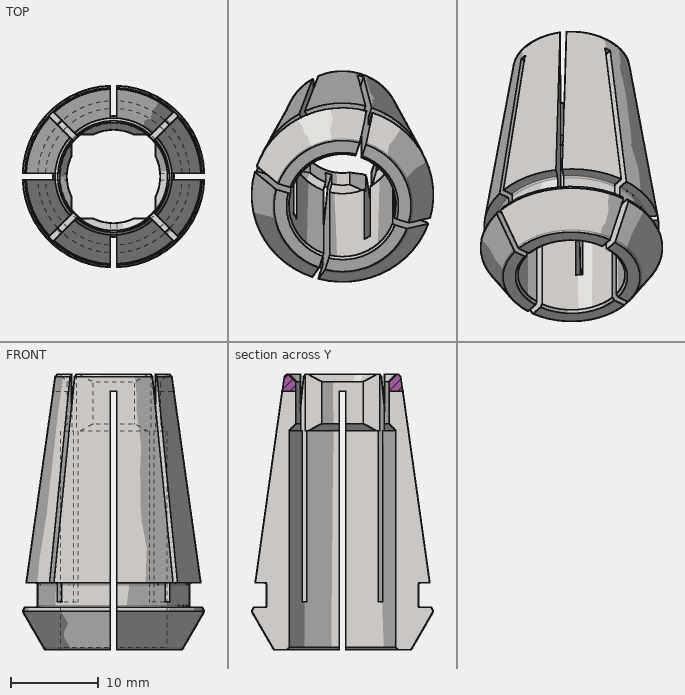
import cadquery as cq
import math

length = 31.5
flange_radius = 10.4

head_half_angle = 30.0
flange_edge_z = 4.4
flange_top_z = 4.88
flange_bevel_width = 0.25
base_bevel_height = 0.22
base_bevel_width = 0.15

groove_radius = 8.7
groove_top_z = 7.65
groove_fillet = 0.2

taper_half_angle = 8.0
taper_base_radius = 10.0
nose_bevel = 0.3

socket_square = 9.55
socket_round_radius = 5.32
lower_bore_radius = 6.1
bore_step_height = lower_bore_radius - socket_round_radius
socket_step_top_z = 25.83
socket_bottom_z = socket_step_top_z - bore_step_height
mouth_radius = 6.17
mouth_depth = mouth_radius - socket_round_radius
bore_base_bevel = 0.28

slit_width = 0.72
low_slit_top_z = 29.5
high_slit_bottom_z = 5.5
slits_per_end = 4
slit_spacing = 360 / slits_per_end
slit_overrun = 0.3


def taper_radius(z):
    """Radius of the long outer taper at height z."""
    return taper_base_radius - (z - groove_top_z) * math.tan(math.radians(taper_half_angle))


def head_radius(z):
    """Radius of the clamping head cone at height z."""
    return flange_radius - (flange_edge_z - z) * math.tan(math.radians(head_half_angle))


def outer_body():
    """Solid of revolution: head, groove and taper."""
    nose_z = length - nose_bevel
    nose_radius = taper_radius(nose_z)
    base_radius = head_radius(base_bevel_height) - base_bevel_width
    arc_middle = groove_fillet * (1 - math.sqrt(0.5))
    profile = (
        cq.Workplane("XZ")
        .lineTo(base_radius, 0)
        .lineTo(head_radius(base_bevel_height), base_bevel_height)
        .lineTo(flange_radius, flange_edge_z)
        .lineTo(flange_radius - flange_bevel_width, flange_top_z)
        .lineTo(groove_radius + groove_fillet, flange_top_z)
        .threePointArc(
            (groove_radius + arc_middle, flange_top_z + arc_middle),
            (groove_radius, flange_top_z + groove_fillet),
        )
        .lineTo(groove_radius, groove_top_z - groove_fillet)
        .threePointArc(
            (groove_radius + arc_middle, groove_top_z - arc_middle),
            (groove_radius + groove_fillet, groove_top_z),
        )
        .lineTo(taper_base_radius, groove_top_z)
        .lineTo(nose_radius, nose_z)
        .lineTo(nose_radius - nose_bevel, length)
        .lineTo(0, length)
        .close()
    )
    return profile.revolve()


def round_bore():
    """Round part of the bore, with its bevelled ends and 45 degree step."""
    profile = (
        cq.Workplane("XZ")
        .lineTo(lower_bore_radius + bore_base_bevel, 0)
        .lineTo(lower_bore_radius, bore_base_bevel)
        .lineTo(lower_bore_radius, socket_bottom_z)
        .lineTo(socket_round_radius, socket_step_top_z)
        .lineTo(socket_round_radius, length - mouth_depth)
        .lineTo(mouth_radius, length)
        .lineTo(0, length)
        .close()
    )
    return profile.revolve()


def square_socket():
    """Square socket from the foot of the bore step to the top face."""
    base = cq.Workplane("XY", origin=(0, 0, socket_bottom_z))
    return base.rect(socket_square, socket_square).extrude(length - socket_bottom_z)


def slits(bottom_z, top_z, first_angle):
    """Ring of radial slits spanning the given heights."""
    one_slit = cq.Workplane("XY").box(
        flange_radius + slit_overrun, slit_width, top_z - bottom_z, centered=(False, True, False)
    )
    ring = cq.Workplane("XY")
    for i in range(slits_per_end):
        angle = first_angle + i * slit_spacing
        ring = ring.add(one_slit.rotate((0, 0, 0), (0, 0, 1), angle).translate((0, 0, bottom_z)))
    return ring.combine()


result = (
    outer_body()
    .cut(round_bore())
    .cut(square_socket())
    .cut(slits(0, low_slit_top_z, 0))
    .cut(slits(high_slit_bottom_z, length, slit_spacing / 2))
)